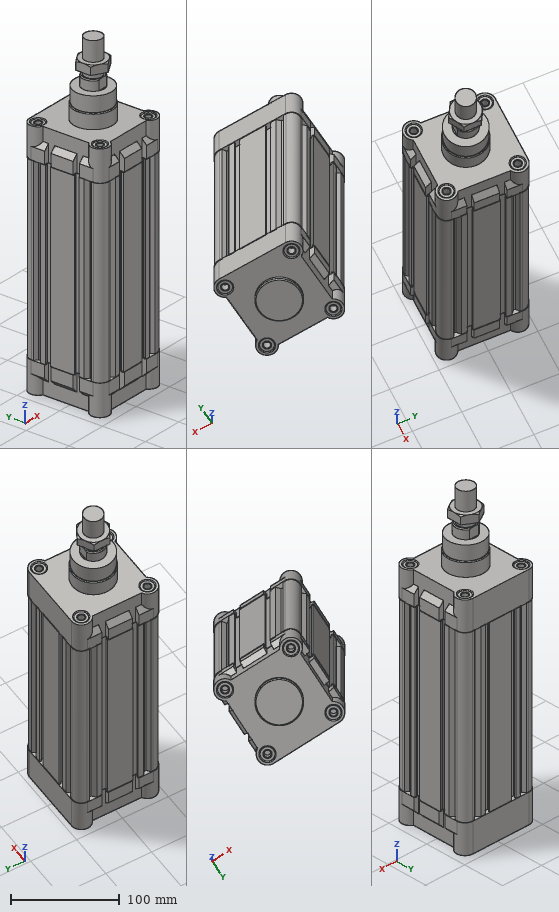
import cadquery as cq
import math

TOTAL_LENGTH = 368.0
BOSS_HEIGHT = 4.0
CAP_LENGTH = 35.7
BARREL_LENGTH = 207.0
REAR_CAP_TOP = BOSS_HEIGHT + CAP_LENGTH
FRONT_CAP_BASE = REAR_CAP_TOP + BARREL_LENGTH
FRONT_CAP_TOP = FRONT_CAP_BASE + CAP_LENGTH
COLLAR_HEIGHT = 34.5
COLLAR_TOP = FRONT_CAP_TOP + COLLAR_HEIGHT

BODY_WIDTH = 93.0
HALF_WIDTH = BODY_WIDTH / 2
SCREW_OFFSET = 36.0
CORNER_RADIUS = HALF_WIDTH - SCREW_OFFSET
CORE_HALF_WIDTH = 41.0
PAD_HEIGHT = 14.5
MIDDLE_PAD_HALF_LENGTH = 13.0
OUTER_PAD_START = 20.2

SEAT_DIAMETER = 16.0
SEAT_FLOOR_DIAMETER = 13.5
SEAT_DEPTH = 0.7
SOCKET_MOUTH_DIAMETER = 8.5
SOCKET_MOUTH_DEPTH = 0.5
SOCKET_DIAMETER = 6.5
SOCKET_DEPTH = 11.0

BARREL_HALF_WIDTH = 46.0
BARREL_CORNER_RADIUS = BARREL_HALF_WIDTH - SCREW_OFFSET
SLOT_START = 14.0
SLOT_END = 19.5
SLOT_DEPTH = 4.8
SLOT_LIP = 2.0
SLOT_UNDERCUT = 2.0
GROOVE_START = 25.5
GROOVE_FLOOR_START = 29.0
GROOVE_FLOOR_END = 31.0
GROOVE_END = 33.5
GROOVE_DEPTH = 4.0

COLLAR_DIAMETER = 45.0
COLLAR_NECK_DIAMETER = 43.0
COLLAR_STEP_HEIGHT = 17.0
COLLAR_STEP_TAPER = 1.5
BOSS_CHAMFER = 1.0

ROD_DIAMETER = 25.0
ROD_CHAMFER = 1.0
ROD_SHOULDER = 328.5
FLAT_WIDTH = 22.0
STUD_DIAMETER = 20.0

NUT_SIDES = 6
NUT_WIDTH = 30.0
NUT_HEIGHT = 10.0
NUT_BASE = 335.5
NUT_CHAMFER_ANGLE = 30.0

SIDE_ANGLES = (0, 90, 180, 270)
PADDED_SIDE_ANGLES = (0, 90, 270)


def cylinder(diameter, base, top):
    """Cylinder on the main axis between two heights."""
    return cq.Workplane("XY").workplane(offset=base).circle(diameter / 2).extrude(top - base)


def corner_points():
    """Workplane with the four corner screw axes selected."""
    square = 2 * SCREW_OFFSET
    return cq.Workplane("XY").rect(square, square, forConstruction=True).vertices()


def screw_seats():
    """Cutters for the tapered screw seats and their sockets in the outer face of a cap."""
    seat_floor = CAP_LENGTH - SEAT_DEPTH
    profile = [
        (0, CAP_LENGTH),
        (SEAT_DIAMETER / 2, CAP_LENGTH),
        (SEAT_FLOOR_DIAMETER / 2, seat_floor),
        (SOCKET_MOUTH_DIAMETER / 2, seat_floor),
        (SOCKET_DIAMETER / 2, seat_floor - SOCKET_MOUTH_DEPTH),
        (SOCKET_DIAMETER / 2, CAP_LENGTH - SOCKET_DEPTH),
        (0, CAP_LENGTH - SOCKET_DEPTH),
    ]
    seat = cq.Workplane("XZ").polyline(profile).close().revolve(360, (0, 0, 0), (0, 1, 0)).val()
    return corner_points().eachpoint(lambda place: seat.moved(place))


def turned_about_axis(shape, angles):
    """Copies of a shape turned about the main axis, joined to one."""
    joined = shape.rotate((0, 0, 0), (0, 0, 1), angles[0])
    for angle in angles[1:]:
        joined = joined.union(shape.rotate((0, 0, 0), (0, 0, 1), angle))
    return joined


def side_pads():
    """Three pads on the -Y side of a cap, each sloping back to the core at its upper end."""
    root = 3.5 - CORE_HALF_WIDTH
    slope = HALF_WIDTH - CORE_HALF_WIDTH
    profile = [
        (root, 0),
        (-HALF_WIDTH, 0),
        (-HALF_WIDTH, PAD_HEIGHT),
        (-CORE_HALF_WIDTH, PAD_HEIGHT + slope),
        (root, PAD_HEIGHT + slope),
    ]
    pads = None
    for start, end in (
        (-SCREW_OFFSET, -OUTER_PAD_START),
        (-MIDDLE_PAD_HALF_LENGTH, MIDDLE_PAD_HALF_LENGTH),
        (OUTER_PAD_START, SCREW_OFFSET),
    ):
        pad = cq.Workplane("YZ").workplane(offset=start).polyline(profile).close().extrude(end - start)
        pads = pad if pads is None else pads.union(pad)
    return pads


def end_cap():
    """Cap with its barrel face at Z = 0 and its outer face at the top."""
    core_side = 2 * CORE_HALF_WIDTH
    cap = cq.Workplane("XY").rect(core_side, core_side).extrude(CAP_LENGTH)
    corners = corner_points().circle(CORNER_RADIUS).extrude(CAP_LENGTH)
    plain_side = (
        cq.Workplane("XY")
        .center(0, HALF_WIDTH / 2)
        .rect(2 * SCREW_OFFSET, HALF_WIDTH)
        .extrude(CAP_LENGTH)
    )
    cap = cap.union(corners).union(plain_side)
    cap = cap.union(turned_about_axis(side_pads(), PADDED_SIDE_ANGLES))
    return cap.cut(screw_seats())


def barrel_groove(outline):
    """Cutter along the barrel; outline points are (distance from mid-side, depth below the side)."""
    points = [(offset, depth - BARREL_HALF_WIDTH) for offset, depth in outline]
    return cq.Workplane("XY").polyline(points).close().extrude(BARREL_LENGTH)


def side_grooves():
    """Cutter for the two T slots and two trapezoid grooves on the -Y side of the barrel."""
    t_slot = barrel_groove(
        [
            (SLOT_START, 0),
            (SLOT_START, SLOT_LIP),
            (SLOT_START - SLOT_UNDERCUT, SLOT_LIP),
            (SLOT_START - SLOT_UNDERCUT, SLOT_DEPTH),
            (SLOT_END + SLOT_UNDERCUT, SLOT_DEPTH),
            (SLOT_END + SLOT_UNDERCUT, SLOT_LIP),
            (SLOT_END, SLOT_LIP),
            (SLOT_END, 0),
        ]
    )
    trapezoid_groove = barrel_groove(
        [
            (GROOVE_START, 0),
            (GROOVE_FLOOR_START, GROOVE_DEPTH),
            (GROOVE_FLOOR_END, GROOVE_DEPTH),
            (GROOVE_END, 0),
        ]
    )
    right_half = t_slot.union(trapezoid_groove)
    return right_half.union(right_half.mirror("YZ"))


def barrel():
    """Profiled barrel, the same on all four sides, with its lower end at Z = 0."""
    blank = (
        cq.Workplane("XY")
        .rect(2 * BARREL_HALF_WIDTH, 2 * BARREL_HALF_WIDTH)
        .extrude(BARREL_LENGTH)
        .edges("|Z")
        .fillet(BARREL_CORNER_RADIUS)
    )
    return blank.cut(turned_about_axis(side_grooves(), SIDE_ANGLES))


def collar():
    """Stepped collar on the front cap."""
    step_top = FRONT_CAP_TOP + COLLAR_STEP_HEIGHT
    step_width = (COLLAR_DIAMETER - COLLAR_NECK_DIAMETER) / 2
    lower = cylinder(COLLAR_DIAMETER, FRONT_CAP_TOP, step_top)
    lower = lower.faces(">Z").chamfer(step_width, COLLAR_STEP_TAPER)
    return lower.union(cylinder(COLLAR_NECK_DIAMETER, step_top, COLLAR_TOP))


def rear_boss():
    """Centring boss under the rear cap."""
    return cylinder(COLLAR_DIAMETER, 0, BOSS_HEIGHT).faces("<Z").chamfer(BOSS_CHAMFER)


def make_housing():
    """Barrel, both caps, collar and boss, with a blind guide hole for the rod."""
    front_cap = end_cap().translate((0, 0, FRONT_CAP_BASE))
    rear_cap = end_cap().mirror("XY").translate((0, 0, REAR_CAP_TOP))
    housing = barrel().translate((0, 0, REAR_CAP_TOP))
    for part in (front_cap, rear_cap, collar(), rear_boss()):
        housing = housing.union(part)
    return housing.cut(cylinder(ROD_DIAMETER, FRONT_CAP_BASE, COLLAR_TOP))


def make_rod():
    """Piston rod with two wrench flats above the collar and a stud for the nut."""
    shaft = cylinder(ROD_DIAMETER, FRONT_CAP_BASE, ROD_SHOULDER).faces(">Z").chamfer(ROD_CHAMFER)
    cutter_centre = (FLAT_WIDTH + ROD_DIAMETER) / 2
    flat_cutters = (
        cq.Workplane("XY")
        .workplane(offset=COLLAR_TOP)
        .pushPoints([(0, -cutter_centre), (0, cutter_centre)])
        .rect(ROD_DIAMETER, ROD_DIAMETER)
        .extrude(ROD_SHOULDER - COLLAR_TOP)
    )
    shaft = shaft.cut(flat_cutters)
    return shaft.union(cylinder(STUD_DIAMETER, ROD_SHOULDER, TOTAL_LENGTH))


def make_nut():
    """Hexagon nut with its corners on the Y axis and its upper corners bevelled by a cone."""
    corner_radius = NUT_WIDTH / 2 / math.cos(math.pi / NUT_SIDES)
    bevel_drop = (corner_radius - NUT_WIDTH / 2) * math.tan(math.radians(NUT_CHAMFER_ANGLE))
    top = NUT_BASE + NUT_HEIGHT
    hexagon = (
        cq.Workplane("XY")
        .workplane(offset=NUT_BASE)
        .polygon(NUT_SIDES, 2 * corner_radius)
        .extrude(NUT_HEIGHT)
        .rotate((0, 0, 0), (0, 0, 1), 180 / NUT_SIDES)
    )
    bevel = (
        cq.Workplane("XZ")
        .polyline(
            [
                (0, NUT_BASE),
                (corner_radius, NUT_BASE),
                (corner_radius, top - bevel_drop),
                (NUT_WIDTH / 2, top),
                (0, top),
            ]
        )
        .close()
        .revolve(360, (0, 0, 0), (0, 1, 0))
    )
    return hexagon.intersect(bevel).cut(cylinder(STUD_DIAMETER, NUT_BASE, top))


housing = make_housing()
rod = make_rod()
nut = make_nut()

result = cq.Compound.makeCompound([housing.val(), rod.val(), nut.val()])